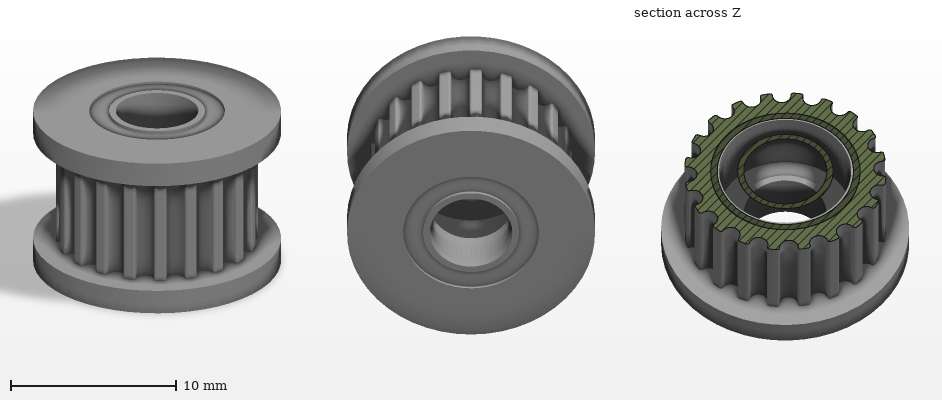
import cadquery as cq
import math

flange_diameter = 15.0
flange_thickness = 1.5
total_height = 10.0
rim_height = total_height - 2 * flange_thickness

tooth_count = 20
tooth_tip_diameter = 12.22
groove_depth = 0.75
groove_radius = 0.55
tip_fillet_radius = 0.15

bearing_count = 2
bearing_outer_diameter = 9.0
bearing_bore_diameter = 5.0
bearing_width = 3.0
outer_ring_inner_diameter = 8.2
inner_ring_outer_diameter = 5.8
shield_recess_depth = 0.2

shoulder_bore_diameter = 8.0


def polar_point(radius, angle):
    return (radius * math.cos(angle), radius * math.sin(angle))


def disc(diameter, height, base_z):
    return cq.Workplane("XY").workplane(offset=base_z).circle(diameter / 2).extrude(height)


def ring(outer_diameter, inner_diameter, height, base_z):
    return (
        cq.Workplane("XY")
        .workplane(offset=base_z)
        .circle(outer_diameter / 2)
        .circle(inner_diameter / 2)
        .extrude(height)
    )


def make_toothed_rim():
    """Rim with round-bottomed grooves that blend into the tooth lands through tip fillets."""
    tip_radius = tooth_tip_diameter / 2
    root_radius = tip_radius - groove_depth
    pitch_angle = 2 * math.pi / tooth_count

    groove_centre_radius = root_radius + groove_radius
    fillet_centre_radius = tip_radius - tip_fillet_radius
    centre_distance = groove_radius + tip_fillet_radius
    fillet_angle = math.acos(
        (groove_centre_radius**2 + fillet_centre_radius**2 - centre_distance**2)
        / (2 * groove_centre_radius * fillet_centre_radius)
    )

    def fillet_points(groove_angle, side):
        """Groove end, middle and land end of the tip fillet on one side of a groove."""
        centre_angle = groove_angle + side * fillet_angle
        centre = cq.Vector(*polar_point(fillet_centre_radius, centre_angle))
        groove_centre = cq.Vector(*polar_point(groove_centre_radius, groove_angle))
        toward_groove = (groove_centre - centre).normalized()
        toward_land = cq.Vector(*polar_point(1, centre_angle))
        toward_middle = (toward_groove + toward_land).normalized()
        directions = (toward_groove, toward_middle, toward_land)
        return [(centre + direction * tip_fillet_radius).toTuple()[:2] for direction in directions]

    outline = cq.Workplane("XY").workplane(offset=-rim_height / 2)
    outline = outline.moveTo(*polar_point(tip_radius, -fillet_angle))
    for index in range(tooth_count):
        groove_angle = index * pitch_angle
        entry_groove_end, entry_middle, _ = fillet_points(groove_angle, -1)
        exit_groove_end, exit_middle, exit_land_end = fillet_points(groove_angle, 1)
        land_middle = polar_point(tip_radius, groove_angle + pitch_angle / 2)
        next_land_end = polar_point(tip_radius, groove_angle + pitch_angle - fillet_angle)
        outline = (
            outline.threePointArc(entry_middle, entry_groove_end)
            .threePointArc(polar_point(root_radius, groove_angle), exit_groove_end)
            .threePointArc(exit_middle, exit_land_end)
            .threePointArc(land_middle, next_land_end)
        )
    return outline.close().extrude(rim_height)


def make_pulley():
    """Flanged pulley with a bearing seat in each end."""
    body = make_toothed_rim()
    for base_z in (-total_height / 2, rim_height / 2):
        body = body.union(disc(flange_diameter, flange_thickness, base_z))
    body = body.cut(disc(shoulder_bore_diameter, total_height, -total_height / 2))
    for base_z in (-total_height / 2, total_height / 2 - bearing_width):
        body = body.cut(disc(bearing_outer_diameter, bearing_width, base_z))
    return body


def make_bearing(base_z):
    """Shielded ball bearing as one solid, with a shallow annular recess in each face."""
    bearing = ring(bearing_outer_diameter, bearing_bore_diameter, bearing_width, base_z)
    for recess_z in (base_z, base_z + bearing_width - shield_recess_depth):
        recess = ring(outer_ring_inner_diameter, inner_ring_outer_diameter, shield_recess_depth, recess_z)
        bearing = bearing.cut(recess)
    return bearing


pulley = make_pulley()
bearing_spacing = total_height - bearing_width
bearings = [
    make_bearing(-total_height / 2 + index * bearing_spacing) for index in range(bearing_count)
]

result = cq.Compound.makeCompound([pulley.val(), *[bearing.val() for bearing in bearings]])